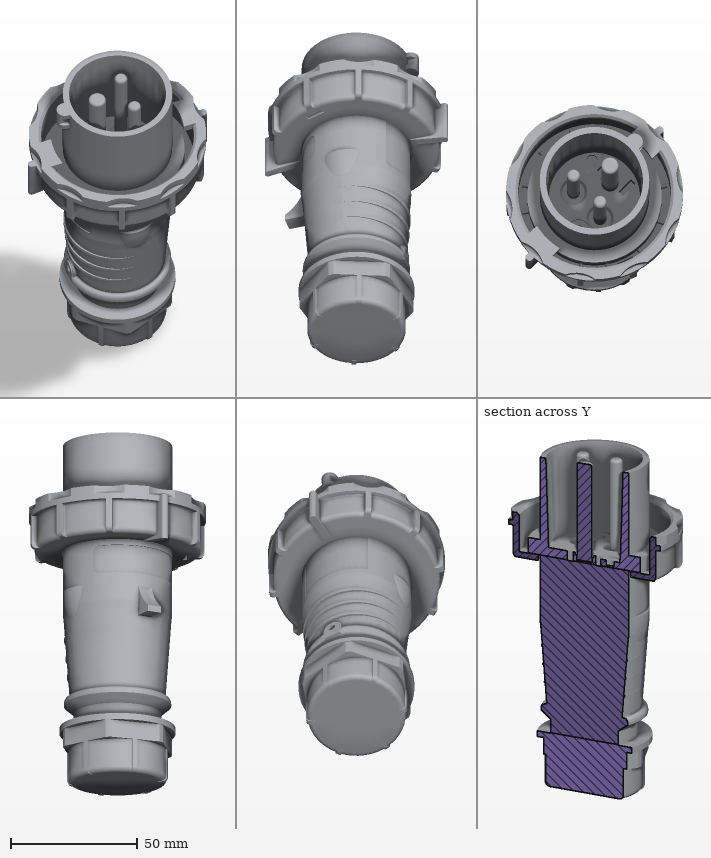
import cadquery as cq
import math


nut_rim_bottom = 0.15
nut_hex_bottom = 13.25
nut_flange_bottom = 20.3
nut_top = 22.85
bulge_bottom = 28.6
bulge_foot = 29.5
bulge_edge = 31.9
bulge_top = 34.85
grip_top = 66.0
carrier_bottom = 97.0
carrier_flange_top = 103.7
contact_face = 101.0
shroud_top = 138.4
phase_pin_top = 138.1
earth_pin_top = 138.98

shroud_radius = 21.7
carrier_flange_radius = 26.6
bore_top_radius = 19.2
bore_face_radius = 18.1
key_width = 6.5
key_waist_width = 3.0
key_reach = 25.6
key_bottom = 130.0
key_end_height = 2.2
slot_size_y = 7.0
slot_center_y = -11.9
slot_depth = 5.0
slots = [(-6.25, 2.5), (6.1, 2.0)]
screw_places = [(-4.9, 13.8), (11.5, -10.0)]
screw_recess_radius = 4.4
screw_recess_depth = 1.0
screw_hole_radius = 2.2
screw_hole_depth = 3.0

pin_circle_radius = 8.6
pin_seat_depth = 3.0
pin_foot = contact_face - pin_seat_depth
phase_pin_radius = 2.55
phase_pin_tip_radius = 1.3
phase_recess_top_radius = 5.4
phase_recess_floor_radius = 4.4
earth_pin_radius = 3.4
earth_pin_tip_radius = 2.4
earth_recess_radius = 4.0
pin_recess_depth = 1.0

ring_bottom = 94.5
ring_flange_bottom = 107.7
ring_top = 113.3
ring_radius = 35.1
ring_wall_radius = 33.0
ring_bore_radius = 30.3
ring_mouth_radius = 31.4
ring_floor_hole_radius = 22.3
ring_edge_round = 1.8
grip_count = 10
grip_pitch = 360 / grip_count
grip_rib_width = 2.35
rib_root_round = 0.7
flange_root_round = 0.65
scallop_sagitta = 2.05
scallop_radius = 12.7
scallop_bottom = 110.0
fin_reach = 37.8
fin_width = 3.0
fin_edge_round = 1.35
fin_bottom = 92.0
fin_root_radius = 22.8
fin_root_bottom = 94.1
tab_width = 12.9
tab_inner_radius = 26.5
tab_thickness = 3.0
ledge_angles = [-56, -26, 4, 34, 56]
ledge_width = 1.6
ledge_edge_round = 0.64
ledge_outer_radius = 29.2
ledge_height = 1.5
window_angle = 161.0
window_radius = 28.1
window_length = 7.4
window_width = 1.6

grip_top_radius = 21.3
grip_bottom_radius = 19.0
bulge_radius = 21.3
bulge_round = 2.0
bulge_foot_radius = 18.4
neck_radius = 17.45
shoulder_bottom = 69.8
ridge_tops = [59.5, 51.9, 44.4]
ridge_height = 1.8
ridge_offset = 0.7
thumb_top = 77.0
thumb_reach = 22.97
thumb_radius = 11.2
thumb_length = 12.0
thumb_middle_drop = 0.35
thumb_end_drop = 1.75
lever_width = 6.0
lever_bottom = 63.9
lever_tip_top = 66.4
lever_tip_reach = 28.7
lever_root_top = 76.5
lever_hollow_middle = (24.65, 70.1)
panel_depth = 0.4
front_panel_width = 28.2
front_panel_bottom = 72.7
back_panel_width = 36.4
back_panel_bottom = 81.0
back_panel_top = 92.3
back_panel_corner = 2.0
front_panel_corner = 1.0
eyelet_face = 20.8
eyelet_center = 36.15
eyelet_foot = 30.8
eyelet_radius = 3.9
eyelet_step = 0.6
eyelet_hole_radius = 1.5
eyelet_hole_depth = 2.0

nut_flange_radius = 22.97
nut_hex_apothem = 20.1
nut_hex_corner_radius = 22.6
nut_cap_radius = 19.5
nut_rib_radius = 20.1
nut_rib_width = 1.9
nut_rib_depth = 3.6
nut_edge_round = 1.9
nut_turn = -70.2
nut_sides = 6

clear = 100.0


def cylinder(radius, bottom, top):
    return cq.Workplane("XY").workplane(offset=bottom).circle(radius).extrude(top - bottom)


def block(x_size, y_size, bottom, top):
    return cq.Workplane("XY").workplane(offset=bottom).rect(x_size, y_size).extrude(top - bottom)


def revolve_profile(points):
    """Revolve a closed (radius, height) outline about Z."""
    return cq.Workplane("XZ").polyline(points).close().revolve(360, (0, 0, 0), (0, 1, 0))


def turned(body, angle):
    return body.rotate((0, 0, 0), (0, 0, 1), angle)


def pin_place(angle):
    radians = math.radians(angle)
    return pin_circle_radius * math.cos(radians), pin_circle_radius * math.sin(radians)


phase_places = [pin_place(angle) for angle in (30, 150)]
earth_place = pin_place(270)


def make_pin(place, radius, tip_radius, top):
    pin = cylinder(radius, pin_foot, top).faces(">Z").edges().fillet(radius - tip_radius)
    return pin.translate((*place, 0))


phase_pins = [
    make_pin(place, phase_pin_radius, phase_pin_tip_radius, phase_pin_top) for place in phase_places
]
earth_pin = make_pin(earth_place, earth_pin_radius, earth_pin_tip_radius, earth_pin_top)


def make_key():
    """Shroud key with a rounded nose, narrowed to a waist between its two ends."""
    nose_center = key_reach - key_width / 2
    key_base = cq.Workplane("XY").workplane(offset=key_bottom)
    height = shroud_top - key_bottom
    wall_middle = (shroud_radius + bore_top_radius) / 2
    key_length = nose_center - wall_middle
    key = key_base.center(0, -wall_middle - key_length / 2).rect(key_width, key_length).extrude(height)
    key = key.union(key_base.center(0, -nose_center).circle(key_width / 2).extrude(height))
    side_cut = (key_width - key_waist_width) / 2
    for side in (-1, 1):
        notch = block(side_cut, clear, key_bottom + key_end_height, shroud_top - key_end_height)
        key = key.cut(notch.translate((side * (key_width - side_cut) / 2, 0, 0)))
    return key


def make_carrier():
    carrier = cylinder(shroud_radius, carrier_bottom, shroud_top)
    carrier = carrier.union(cylinder(carrier_flange_radius, carrier_bottom, carrier_flange_top))
    carrier = carrier.union(make_key())
    bore = revolve_profile([
        (0, contact_face),
        (bore_face_radius, contact_face),
        (bore_top_radius, shroud_top),
        (0, shroud_top),
    ])
    carrier = carrier.cut(bore)

    phase_recess = revolve_profile([
        (0, contact_face - pin_recess_depth),
        (phase_recess_floor_radius, contact_face - pin_recess_depth),
        (phase_recess_top_radius, contact_face),
        (0, contact_face),
    ])
    for place in phase_places:
        carrier = carrier.cut(phase_recess.translate((*place, 0)))
    earth_recess = cylinder(earth_recess_radius, contact_face - pin_recess_depth, contact_face)
    carrier = carrier.cut(earth_recess.translate((*earth_place, 0)))
    for pin in [*phase_pins, earth_pin]:
        carrier = carrier.cut(pin)

    screw_recess = cylinder(screw_recess_radius, contact_face - screw_recess_depth, contact_face)
    screw_hole = cylinder(screw_hole_radius, contact_face - screw_hole_depth, contact_face)
    for place in screw_places:
        carrier = carrier.cut(screw_recess.translate((*place, 0)))
        carrier = carrier.cut(screw_hole.translate((*place, 0)))
    for center_x, width in slots:
        slot = block(width, slot_size_y, contact_face - slot_depth, contact_face)
        carrier = carrier.cut(slot.translate((center_x, slot_center_y, 0)))
    return carrier


def make_fin():
    """Fin on the +Y side with a sloping lower edge and a rounded outer edge."""
    fin = (
        cq.Workplane("YZ")
        .moveTo(fin_root_radius, fin_root_bottom)
        .lineTo(fin_reach, fin_bottom)
        .lineTo(fin_reach, scallop_bottom)
        .lineTo(fin_root_radius, scallop_bottom)
        .close()
        .extrude(fin_width / 2, both=True)
    )
    return fin.faces(">Y").edges("|Z").fillet(fin_edge_round)


def make_ribbed_wall():
    """Hand ring below its flange: grip ribs standing on a round wall, with rounded rib roots."""
    wall = cylinder(ring_wall_radius, ring_bottom, ring_flange_bottom)
    wall = wall.faces("<Z").edges().fillet(ring_edge_round)
    envelope = cylinder(ring_radius, ring_bottom, ring_flange_bottom)
    envelope = envelope.faces("<Z").edges().fillet(ring_edge_round)
    for step in range(grip_count):
        rib = block(grip_rib_width, ring_radius, ring_bottom, ring_flange_bottom)
        rib = rib.translate((0, ring_radius / 2, 0)).intersect(envelope)
        wall = wall.union(turned(rib, step * grip_pitch))
    root_limit = (ring_wall_radius + ring_radius) / 2
    roots = wall.edges("|Z").filter(lambda edge: math.hypot(*edge.Center().toTuple()[:2]) < root_limit)
    return roots.fillet(rib_root_round)


def make_flange_root():
    """Hollow-rounded collar where the wall between the ribs meets the flange."""
    inner = ring_bore_radius
    return (
        cq.Workplane("XZ")
        .moveTo(inner, ring_flange_bottom - flange_root_round)
        .lineTo(ring_wall_radius, ring_flange_bottom - flange_root_round)
        .radiusArc((ring_wall_radius + flange_root_round, ring_flange_bottom), flange_root_round)
        .lineTo(inner, ring_flange_bottom)
        .close()
        .revolve(360, (0, 0, 0), (0, 1, 0))
    )


def make_ring():
    ring = make_ribbed_wall()
    flange = cylinder(ring_radius, ring_flange_bottom, ring_top)
    scallop_center = ring_radius - scallop_sagitta + scallop_radius
    for step in range(grip_count):
        scallop = cylinder(scallop_radius, scallop_bottom, ring_top)
        flange = flange.cut(turned(scallop.translate((0, scallop_center, 0)), step * grip_pitch))
    ring = ring.union(flange).union(make_flange_root())
    for angle in (0, 180):
        ring = ring.union(turned(make_fin(), angle))

    mouth_depth = ring_mouth_radius - ring_bore_radius
    inside = revolve_profile([
        (0, carrier_bottom),
        (ring_bore_radius, carrier_bottom),
        (ring_bore_radius, ring_top - mouth_depth),
        (ring_mouth_radius, ring_top),
        (0, ring_top),
    ])
    ring = ring.cut(inside).cut(cylinder(ring_floor_hole_radius, fin_bottom, ring_top))

    tabs = block(tab_width, ring_wall_radius + ring_mouth_radius, ring_top - tab_thickness, ring_top)
    ring = ring.union(tabs.cut(cylinder(tab_inner_radius, ring_top - tab_thickness, ring_top)))

    ledge_length = ledge_outer_radius - carrier_flange_radius
    ledge = block(ledge_length, ledge_width, carrier_bottom, carrier_bottom + ledge_height)
    ledge = ledge.faces(">Z").edges("|X").fillet(ledge_edge_round)
    ledge = ledge.translate((carrier_flange_radius + ledge_length / 2, 0, 0))
    ledge = ledge.cut(cylinder(carrier_flange_radius, carrier_bottom, carrier_flange_top))
    for angle in ledge_angles:
        ring = ring.union(turned(ledge, angle)).union(turned(ledge, 180 - angle))

    window = block(window_width, window_length, ring_bottom, carrier_bottom)
    return ring.cut(turned(window.translate((window_radius, 0, 0)), window_angle))


def make_handle_core():
    outline = (
        cq.Workplane("XZ")
        .moveTo(0, nut_top)
        .lineTo(neck_radius, nut_top)
        .lineTo(neck_radius, bulge_bottom)
        .lineTo(bulge_foot_radius, bulge_foot)
        .lineTo(bulge_radius, bulge_edge)
        .lineTo(bulge_radius, bulge_top - bulge_round)
        .radiusArc((bulge_radius - bulge_round, bulge_top), -bulge_round)
        .lineTo(grip_bottom_radius, bulge_top)
        .lineTo(grip_top_radius, grip_top)
        .lineTo(shroud_radius, shoulder_bottom)
        .lineTo(shroud_radius, carrier_bottom)
        .lineTo(0, carrier_bottom)
        .close()
    )
    return outline.revolve(360, (0, 0, 0), (0, 1, 0))


def grip_radius_at(height):
    taper = (grip_top_radius - grip_bottom_radius) / (grip_top - bulge_top)
    return grip_bottom_radius + taper * (height - bulge_top)


def make_ridge(top):
    """Finger ridge on the -Y half that fades out towards +X and -X."""
    radius = grip_radius_at(top)
    disc = cylinder(radius, top - ridge_height, top).translate((0, -ridge_offset, 0))
    far = radius + ridge_offset
    wedge = (
        cq.Workplane("YZ")
        .polyline([(0, top), (-far, top), (-far, top - ridge_height)])
        .close()
        .extrude(clear / 2, both=True)
    )
    return disc.intersect(wedge)


def make_thumb_rest():
    """Barrel-shaped bump on the +X side, flat on top and fading into the grip below."""
    bump = (
        cq.Workplane("XZ")
        .moveTo(0, thumb_top)
        .lineTo(thumb_radius, thumb_top)
        .threePointArc(
            (thumb_radius - thumb_middle_drop, thumb_top - thumb_length / 2),
            (thumb_radius - thumb_end_drop, thumb_top - thumb_length),
        )
        .lineTo(0, thumb_top - thumb_length)
        .close()
        .revolve(360, (0, 0, 0), (0, 1, 0))
    )
    return bump.translate((thumb_reach - thumb_radius, 0, 0))


def make_lever():
    """Release lever on the +Y side with a hollowed upper face."""
    root = grip_bottom_radius
    surface = shroud_radius - panel_depth
    return (
        cq.Workplane("YZ")
        .moveTo(root, lever_bottom)
        .lineTo(lever_tip_reach, lever_bottom)
        .lineTo(lever_tip_reach, lever_tip_top)
        .threePointArc(lever_hollow_middle, (surface, lever_root_top))
        .lineTo(root, lever_root_top)
        .close()
        .extrude(lever_width / 2, both=True)
    )


def make_panel(width, bottom, top, side, corner):
    """Shallow skin to remove from the handle on the +Y (side 1) or -Y (side -1) face."""
    skin = cylinder(clear / 2, bottom, top)
    skin = skin.cut(cylinder(shroud_radius - panel_depth, bottom, top))
    height = top - bottom
    window = block(width, clear / 2, bottom, top).edges("|Y").fillet(corner)
    return skin.intersect(window.translate((0, side * clear / 4, 0)))


def eyelet_plate(radius, face):
    """Arched plate in front of the grip, reaching from its middle out to the given face."""
    plate = cq.Workplane("XZ").center(0, eyelet_center).circle(radius).extrude(face)
    foot_height = eyelet_center - eyelet_foot
    foot = cq.Workplane("XZ").center(0, eyelet_center - foot_height / 2)
    return plate.union(foot.rect(2 * radius, foot_height).extrude(face))


def make_handle():
    handle = make_handle_core()
    for top in ridge_tops:
        handle = handle.union(make_ridge(top))
    for angle in (0, 180):
        handle = handle.union(turned(make_thumb_rest(), angle))
    handle = handle.union(make_lever())
    handle = handle.cut(
        make_panel(front_panel_width, front_panel_bottom, carrier_bottom, -1, front_panel_corner)
    )
    handle = handle.cut(
        make_panel(back_panel_width, back_panel_bottom, back_panel_top, 1, back_panel_corner)
    )
    bulge_flat = block(clear, clear, bulge_bottom, bulge_top)
    handle = handle.cut(bulge_flat.translate((0, -eyelet_face - clear / 2, 0)))
    handle = handle.union(eyelet_plate(eyelet_radius, eyelet_face - eyelet_step))
    handle = handle.union(eyelet_plate(eyelet_radius - eyelet_step, eyelet_face))
    eyelet_hole = (
        cq.Workplane("XZ", origin=(0, -eyelet_face, 0))
        .center(0, eyelet_center)
        .circle(eyelet_hole_radius)
        .extrude(-eyelet_hole_depth)
    )
    return handle.cut(eyelet_hole)


def make_nut():
    hexagon = cq.Workplane("XY").workplane(offset=nut_hex_bottom)
    hexagon = hexagon.polygon(nut_sides, 2 * nut_hex_apothem, circumscribed=True)
    hexagon = hexagon.extrude(nut_flange_bottom - nut_hex_bottom)
    hexagon = turned(hexagon, 180 / nut_sides)
    hexagon = hexagon.intersect(cylinder(nut_hex_corner_radius, nut_hex_bottom, nut_flange_bottom))
    cap = cylinder(nut_cap_radius, nut_rim_bottom, nut_hex_bottom).faces("<Z").edges().fillet(nut_edge_round)
    nut = hexagon.union(cap).union(cylinder(nut_flange_radius, nut_flange_bottom, nut_top))
    envelope = cylinder(nut_rib_radius, 0, nut_hex_bottom).faces("<Z").edges().fillet(nut_edge_round)
    rib_pitch = 360 / nut_sides
    rib_center = nut_rib_radius - nut_rib_depth / 2
    for step in range(nut_sides):
        rib = block(nut_rib_depth, nut_rib_width, 0, nut_hex_bottom)
        rib = rib.translate((rib_center, 0, 0)).intersect(envelope)
        nut = nut.union(turned(rib, (step + 0.5) * rib_pitch))
    return turned(nut, nut_turn)


carrier = make_carrier()
ring = make_ring()
handle = make_handle()
nut = make_nut()

result = cq.Compound.makeCompound([
    carrier.solids().val(),
    handle.solids().val(),
    ring.solids().val(),
    nut.solids().val(),
    earth_pin.val(),
    *[pin.val() for pin in phase_pins],
])